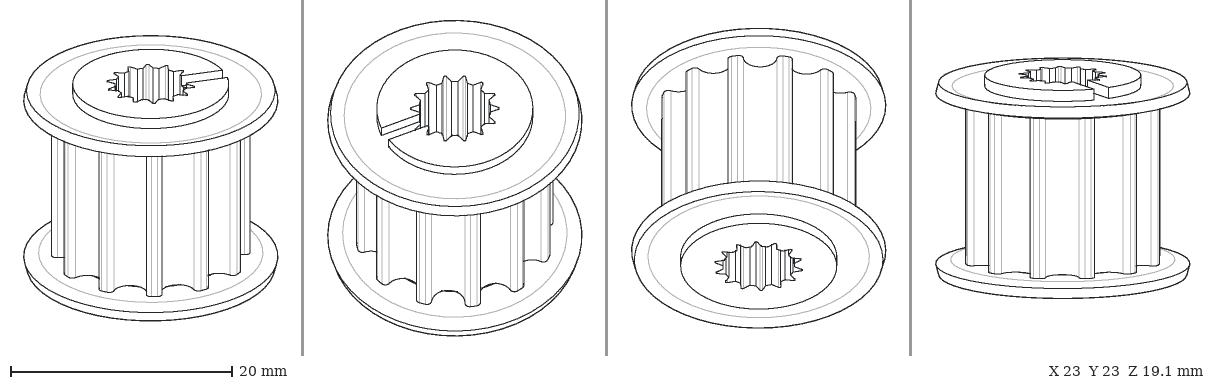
import cadquery as cq
import math

TOTAL_HEIGHT = 19.05
FLANGE_RADIUS = 11.5
FLANGE_SPACING = 15.0
FLANGE_THICKNESS = 1.01
FLANGE_BEND_RADIUS = 10.15
FLANGE_LEAN = math.radians(15)
BOSS_RADIUS = 7.05

TOOTH_COUNT = 12
TOOTH_TIP_RADIUS = 9.0
GROOVE_BOTTOM_RADIUS = 6.92
GROOVE_ARC_RADIUS = 1.52
TOOTH_EDGE_ROUNDING = 0.44

SPLINE_COUNT = 14
SPLINE_MINOR_RADIUS = 3.25
SPLINE_MAJOR_RADIUS = 4.0
SPLINE_MOUTH_WIDTH = 0.9
SPLINE_TIP_RADIUS = 0.14

SLOT_WIDTH = 1.55

BELT_TOP = FLANGE_SPACING / 2
FLANGE_TOP = BELT_TOP + FLANGE_THICKNESS
BOSS_TOP = TOTAL_HEIGHT / 2


def polar(radius, angle):
    """Point at an angle (radians) measured from +X."""
    return radius * math.cos(angle), radius * math.sin(angle)


def flange_disc():
    """Upper flange: a flat disc of even thickness whose rim leans away from the belt."""
    rim_height = (FLANGE_RADIUS - FLANGE_BEND_RADIUS) * math.tan(FLANGE_LEAN)
    outer_bend_radius = FLANGE_BEND_RADIUS - FLANGE_THICKNESS * math.tan(FLANGE_LEAN / 2)
    rim_low = (FLANGE_RADIUS, BELT_TOP + rim_height)
    rim_high = (
        FLANGE_RADIUS - FLANGE_THICKNESS * math.sin(FLANGE_LEAN),
        rim_low[1] + FLANGE_THICKNESS * math.cos(FLANGE_LEAN),
    )
    half_section = [
        (0, BELT_TOP),
        (FLANGE_BEND_RADIUS, BELT_TOP),
        rim_low,
        rim_high,
        (outer_bend_radius, FLANGE_TOP),
        (0, FLANGE_TOP),
    ]
    return cq.Workplane("XZ").polyline(half_section).close().revolve(360, (0, 0), (0, 1))


def toothed_core():
    """Belt section: round-bottomed grooves, the first one on +X, with rounded tooth edges."""
    pitch = 2 * math.pi / TOOTH_COUNT
    groove_center = GROOVE_BOTTOM_RADIUS + GROOVE_ARC_RADIUS
    rounding_center = TOOTH_TIP_RADIUS - TOOTH_EDGE_ROUNDING
    center_gap = GROOVE_ARC_RADIUS + TOOTH_EDGE_ROUNDING

    land_angle = math.acos(
        (groove_center**2 + rounding_center**2 - center_gap**2) / (2 * groove_center * rounding_center)
    )
    round_x, round_y = polar(rounding_center, land_angle)
    touch_angle = math.atan2(round_y, round_x - groove_center)
    touch_x = groove_center + GROOVE_ARC_RADIUS * math.cos(touch_angle)
    touch_y = GROOVE_ARC_RADIUS * math.sin(touch_angle)
    touch_radius = math.hypot(touch_x, touch_y)
    touch_polar_angle = math.atan2(touch_y, touch_x)

    middle_angle = (land_angle + touch_angle - math.pi) / 2
    middle_x = round_x + TOOTH_EDGE_ROUNDING * math.cos(middle_angle)
    middle_y = round_y + TOOTH_EDGE_ROUNDING * math.sin(middle_angle)
    middle_radius = math.hypot(middle_x, middle_y)
    middle_polar_angle = math.atan2(middle_y, middle_x)

    outline = cq.Workplane("XY", origin=(0, 0, -BELT_TOP)).moveTo(*polar(touch_radius, -touch_polar_angle))
    for index in range(TOOTH_COUNT):
        groove = index * pitch
        tooth = groove + pitch / 2
        next_groove = groove + pitch
        outline = (
            outline
            .threePointArc(
                polar(GROOVE_BOTTOM_RADIUS, groove),
                polar(touch_radius, groove + touch_polar_angle),
            )
            .threePointArc(
                polar(middle_radius, groove + middle_polar_angle),
                polar(TOOTH_TIP_RADIUS, groove + land_angle),
            )
            .threePointArc(
                polar(TOOTH_TIP_RADIUS, tooth),
                polar(TOOTH_TIP_RADIUS, next_groove - land_angle),
            )
            .threePointArc(
                polar(middle_radius, next_groove - middle_polar_angle),
                polar(touch_radius, next_groove - touch_polar_angle),
            )
        )
    return outline.close().extrude(FLANGE_SPACING)


def upper_boss():
    """Boss from the belt section up through the upper flange, standing out above it."""
    return cq.Workplane("XY", origin=(0, 0, BELT_TOP)).circle(BOSS_RADIUS).extrude(BOSS_TOP - BELT_TOP)


def lower_boss():
    """Boss that carries the lower flange and stands out below it."""
    return upper_boss().mirror("XY")


def splined_bore():
    """Cutter for the bore: a round core plus tapered spline grooves, the first one on +Y."""
    base = cq.Workplane("XY", origin=(0, 0, -BOSS_TOP))
    cutter = base.circle(SPLINE_MINOR_RADIUS).extrude(TOTAL_HEIGHT)

    half_mouth = SPLINE_MOUTH_WIDTH / 2
    mouth_y = math.sqrt(SPLINE_MINOR_RADIUS**2 - half_mouth**2)
    tip_center = SPLINE_MAJOR_RADIUS - SPLINE_TIP_RADIUS
    mouth_distance = math.hypot(half_mouth, tip_center - mouth_y)
    tangent_angle = math.acos(SPLINE_TIP_RADIUS / mouth_distance) - math.atan2(tip_center - mouth_y, half_mouth)
    tangent_x = SPLINE_TIP_RADIUS * math.cos(tangent_angle)
    tangent_y = tip_center + SPLINE_TIP_RADIUS * math.sin(tangent_angle)
    groove = (
        base.moveTo(0, 0)
        .lineTo(half_mouth, mouth_y)
        .lineTo(tangent_x, tangent_y)
        .threePointArc((0, SPLINE_MAJOR_RADIUS), (-tangent_x, tangent_y))
        .lineTo(-half_mouth, mouth_y)
        .close()
        .extrude(TOTAL_HEIGHT)
    )
    for index in range(SPLINE_COUNT):
        cutter = cutter.union(groove.rotate((0, 0, 0), (0, 0, 1), index * 360 / SPLINE_COUNT))
    return cutter


def boss_slot():
    """Cutter for the slot from the bore to the +Y side of the upper boss, down to the flange face."""
    slot = cq.Workplane("XY", origin=(0, 0, FLANGE_TOP))
    return slot.box(SLOT_WIDTH, BOSS_RADIUS, BOSS_TOP - FLANGE_TOP, centered=(True, False, False))


def make_pulley():
    """Toothed hub with its upper flange, both bosses and the splined bore."""
    hub = toothed_core().union(upper_boss()).union(lower_boss())
    body = hub.union(flange_disc())
    return body.cut(boss_slot()).cut(splined_bore())


def make_lower_flange():
    """Separate flange ring, a mirrored upper flange fitted over the lower boss."""
    return flange_disc().mirror("XY").cut(lower_boss())


pulley = make_pulley()
lower_flange = make_lower_flange()

result = cq.Compound.makeCompound([pulley.val(), lower_flange.val()])